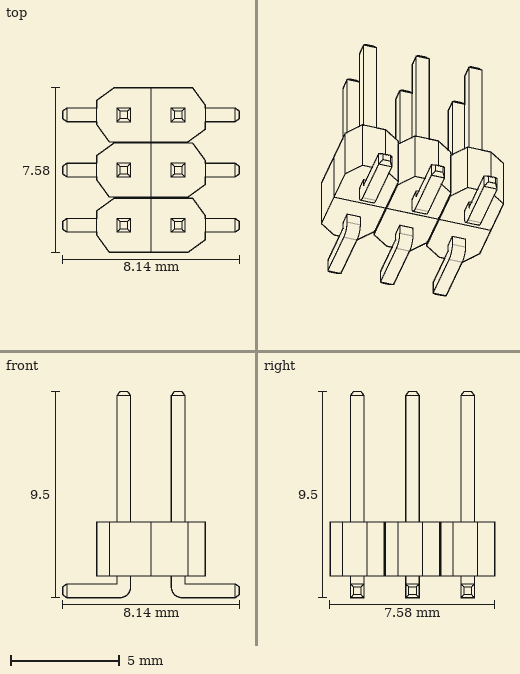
import cadquery as cq

overall_x = 8.14
overall_y = 7.58
overall_z = 9.5

row_count = 3
cell_size = 2.5
cell_height = cell_size
cell_bottom = 1.0
corner_cut_long = 0.8
corner_cut_short = 0.58
row_pitch = (overall_y - cell_size) / (row_count - 1)

pin_width = 0.64
foot_height = 0.65
bend_radius = 0.5
tip_length = 0.2
tip_inset = 0.14
pin_offset = cell_size / 2
foot_length = overall_x / 2 - pin_offset


def make_cell():
    """Housing block of the -X column, its inner face on X = 0, with two unequal corner cuts."""
    half = cell_size / 2
    outline = [
        (0, -half),
        (0, half),
        (-cell_size + corner_cut_long, half),
        (-cell_size, half - corner_cut_short),
        (-cell_size, -half + corner_cut_long),
        (-cell_size + corner_cut_short, -half),
    ]
    return cq.Workplane("XY").workplane(offset=cell_bottom).polyline(outline).close().extrude(cell_height)


def make_tip(base_plane, base_width, base_depth):
    """Truncated pyramid closing a pin end whose section is base_width by base_depth."""
    return (
        cq.Workplane(base_plane)
        .rect(base_width, base_depth)
        .workplane(offset=tip_length)
        .rect(base_width - 2 * tip_inset, base_depth - 2 * tip_inset)
        .loft()
    )


def make_pin():
    """Upright post with its foot pointing to -X and a tapered tip on each end."""
    post_height = overall_z - tip_length
    post = (
        cq.Workplane("XY")
        .center(-pin_offset, 0)
        .rect(pin_width, pin_width)
        .extrude(post_height)
    )
    bar_length = foot_length - tip_length + pin_width / 2
    bar_outer_x = -pin_offset - foot_length + tip_length
    bar = (
        cq.Workplane("XY")
        .box(bar_length, pin_width, foot_height, centered=(False, True, False))
        .translate((bar_outer_x, 0, 0))
    )
    bent = post.union(bar).clean()
    bent = bent.faces("<Z").edges(">X").fillet(bend_radius)

    post_end = cq.Plane(origin=(-pin_offset, 0, post_height))
    foot_end = cq.Plane(origin=(bar_outer_x, 0, foot_height / 2), xDir=(0, 1, 0), normal=(-1, 0, 0))
    post_tip = make_tip(post_end, pin_width, pin_width)
    foot_tip = make_tip(foot_end, pin_width, foot_height)
    return bent.union(post_tip).union(foot_tip)


def make_contact():
    """One header position: a housing cell and its pin as a single solid."""
    return make_cell().union(make_pin())


left_contact = make_contact()
right_contact = left_contact.rotate((0, 0, 0), (0, 0, 1), 180)

contacts = []
for row in range(row_count):
    row_y = (row - (row_count - 1) / 2) * row_pitch
    for contact in (left_contact, right_contact):
        contacts.append(contact.translate((0, row_y, 0)).val())

result = cq.Compound.makeCompound(contacts)